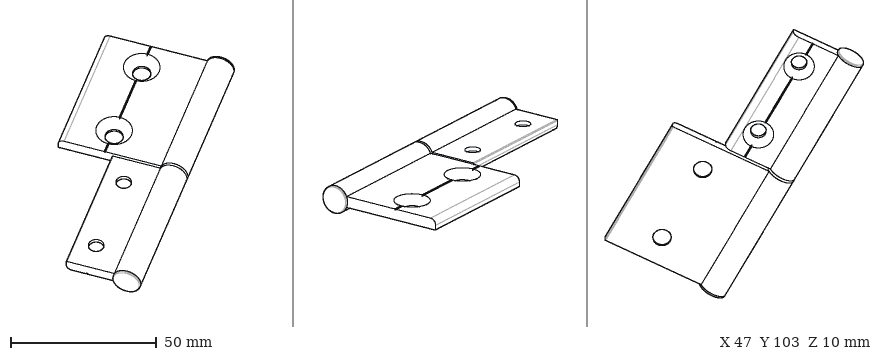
import cadquery as cq
import math


total_length = 103
total_width = 47.0
barrel_diameter = 10.0
barrel_radius = barrel_diameter / 2

washer_thickness = 1.0
cap_thickness = washer_thickness
cap_dome_height = 0.2
cap_edge_radius = 0.3

leaf_length = (total_length - washer_thickness - 2 * cap_thickness) / 2
leaf_thickness = 4.0
wide_leaf_reach = total_width - barrel_radius
narrow_leaf_reach = 22.0
large_edge_radius = 2.2
small_edge_radius = 0.3

hole_pitch = 30.0
wide_hole_offset = 25.0
wide_hole_diameter = 6.3
wide_sink_diameter = 12.6
narrow_hole_offset = 14.5
narrow_hole_diameter = 5.4
narrow_sink_diameter = 10.5
sink_angle = 90
groove_width = 0.5
groove_depth = 0.4


def along_y(profile, start, length):
    """Extrude an XZ profile towards +Y from Y = start."""
    return profile.extrude(-length).translate((0, start, 0))


def make_leaf(reach, hole_offset, hole_diameter, sink_diameter):
    """Leaf on the +Y side of the washer, with its countersunk face up."""
    start = washer_thickness / 2
    middle = start + leaf_length / 2
    top = leaf_thickness / 2

    plate_profile = cq.Workplane("XZ").center(-reach / 2, 0).rect(reach, leaf_thickness)
    plate = along_y(plate_profile, start, leaf_length)
    plate = plate.edges("|Y and <X and >Z").fillet(large_edge_radius)
    plate = plate.edges("|Y and <X and <Z").fillet(small_edge_radius)
    barrel = along_y(cq.Workplane("XZ").circle(barrel_radius), start, leaf_length)
    leaf = plate.union(barrel)

    groove_profile = cq.Workplane("XZ").polyline([
        (-hole_offset - groove_width / 2, top),
        (-hole_offset + groove_width / 2, top),
        (-hole_offset, top - groove_depth),
    ]).close()
    leaf = leaf.cut(along_y(groove_profile, start, leaf_length))

    hole_centres = [(-hole_offset, middle + side * hole_pitch / 2) for side in (-1, 1)]
    return (
        leaf.copyWorkplane(cq.Workplane("XY").workplane(offset=top))
        .pushPoints(hole_centres)
        .cskHole(hole_diameter, sink_diameter, sink_angle, depth=leaf_thickness)
    )


def make_wide_leaf():
    return make_leaf(wide_leaf_reach, wide_hole_offset, wide_hole_diameter, wide_sink_diameter)


def make_narrow_leaf():
    """Turned half a turn about X: on the -Y side, with its countersunk face down."""
    leaf = make_leaf(narrow_leaf_reach, narrow_hole_offset, narrow_hole_diameter, narrow_sink_diameter)
    return leaf.rotate((0, 0, 0), (1, 0, 0), 180)


def make_washer():
    profile = cq.Workplane("XZ").circle(barrel_radius)
    return along_y(profile, -washer_thickness / 2, washer_thickness)


def make_cap():
    """Cap on the +Y end: a thin disc with a rounded edge and a shallow domed face."""
    inner = total_length / 2 - cap_thickness
    outer = total_length / 2
    rim = outer - cap_dome_height
    face_radius = barrel_radius - cap_edge_radius
    dome_radius = (face_radius**2 + cap_dome_height**2) / (2 * cap_dome_height)
    arc_x = face_radius / 2
    arc_y = outer - dome_radius + math.sqrt(dome_radius**2 - arc_x**2)
    edge_inset = cap_edge_radius * (1 - math.sqrt(0.5))
    return (
        cq.Workplane("XY")
        .moveTo(0, inner)
        .lineTo(barrel_radius, inner)
        .lineTo(barrel_radius, rim - cap_edge_radius)
        .threePointArc((barrel_radius - edge_inset, rim - edge_inset), (face_radius, rim))
        .threePointArc((arc_x, arc_y), (0, outer))
        .close()
        .revolve(360, (0, 0, 0), (0, 1, 0))
    )


wide_leaf = make_wide_leaf()
narrow_leaf = make_narrow_leaf()
washer = make_washer()
caps = [make_cap().rotate((0, 0, 0), (0, 0, 1), turn) for turn in (0, 180)]

result = cq.Compound.makeCompound([
    wide_leaf.val(),
    narrow_leaf.val(),
    washer.val(),
    *[cap.val() for cap in caps],
])